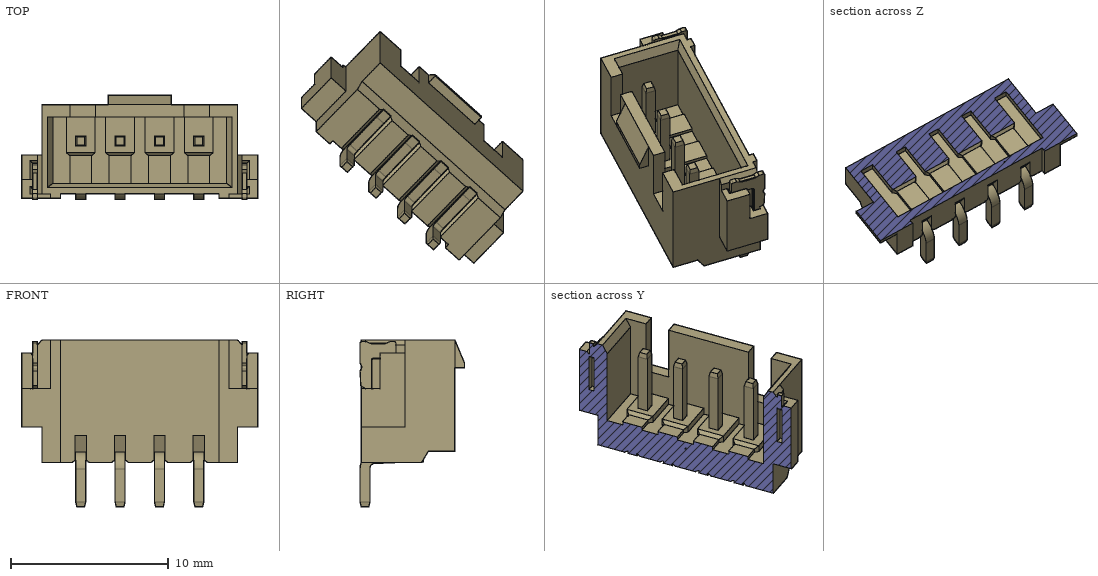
import cadquery as cq
import math


width = 15.0
body_width = 12.44
back_y = 5.95
front_wall_y = 0.28
rear_bottom_z = -7.08
bottom_z = -7.8
bottom_ramp_front_y = 3.84
bottom_ramp_back_y = 4.28

rib_inner_x = 5.02
rib_step_x = 5.67
wing_back_y = 2.78
wing_top_z = -0.82
wing_bottom_z = -5.54
wing_root_x = 6.5
root_bevel_height = 0.32

cavity_width = 11.04
cavity_front_y = 0.96
cavity_back_y = 5.18
floor_z = -5.7
rim_bevel_side = 0.33
rim_bevel_front = 0.25
rim_bevel_height = 0.57

slot_inner_x = 2.82
slot_outer_x = 4.42
slot_bottom_z = -3.6

pedestal_width = 1.83
pedestal_front_y = 2.91
pedestal_height = 0.45
ridge_width = 1.38
ridge_back_y = 2.72
ridge_height = 0.22

latch_width = 4.02
latch_depth = 0.62
latch_ramp_bottom_z = -1.45
latch_bottom_z = -1.78

pin_count = 4
pitch = 7.5 / 3
pin_size = 0.65
pin_top_z = -0.98
pin_tip_z = -10.6
pin_back_y = 3.98
pin_front_y = -0.08
leg_drop = 0.1
foot_top_z = -7.11
foot_bottom_z = -7.75
outer_bend_radius = 1.08
inner_bend_radius = 0.28
pin_point_height = 0.32
pin_point_inset = 0.08

channel_width = 0.7
channel_top_z = -6.09
channel_depth = 0.51
groove_bevel = 0.2
groove_height = 0.15

tab_thickness = 0.32
tab_back_y = 2.2
tab_arm_bottom_z = -1.2
tab_leg_back_y = 0.69
tab_front_y = -0.08
tab_toe_y = -0.03
tab_toe_z = -2.91
tab_top_z = -0.1
tab_corner_radius = 0.12
tab_inner_radius = 0.1
tab_dip_z = -0.21
tab_dip_front_y = 0.55
tab_dip_back_y = 1.6
tab_dip_slope = 0.24
tab_bevel = 0.05
nick_top_z = -1.48
nick_bottom_z = -1.98
nick_depth = 0.12
nick_flank_depth = 0.08
nick_flank_height = 0.14
notch_back_y = 1.22
notch_floor_z = -3.1
socket_floor_z = -3.7
lead_in = 0.15
arm_seat_back_y = 2.4
socket_front_y = 0.27
socket_back_y = 0.76

pin_positions = [(i - (pin_count - 1) / 2) * pitch for i in range(pin_count)]


def box(x0, x1, y0, y1, z0, z1):
    """Box between two opposite corners."""
    return cq.Workplane("XY").box(x1 - x0, y1 - y0, z1 - z0, centered=False).translate((x0, y0, z0))


def slab(outline, x0, x1):
    """Extrude a closed YZ sketch from x0 to x1."""
    return outline.extrude(x1 - x0).translate((x0, 0, 0))


def both_sides(shape):
    """The shape together with its mirror image in the YZ plane."""
    return shape.union(shape.mirror("YZ"))


def body():
    profile = cq.Workplane("YZ").polyline([
        (front_wall_y, 0),
        (back_y, 0),
        (back_y, rear_bottom_z),
        (bottom_ramp_back_y, rear_bottom_z),
        (bottom_ramp_front_y, bottom_z),
        (front_wall_y, bottom_z),
    ]).close()
    return slab(profile, -body_width / 2, body_width / 2)


def side_wing():
    """Right-hand rib, thickened side wall and wing, with the notch that exposes the solder tab."""
    rib = box(rib_inner_x, body_width / 2, 0, front_wall_y, bottom_z, 0)
    root = (
        cq.Workplane("XZ")
        .polyline([
            (body_width / 2, 0),
            (wing_root_x, -root_bevel_height),
            (wing_root_x, wing_bottom_z),
            (body_width / 2, wing_bottom_z),
        ])
        .close()
        .extrude(-wing_back_y)
    )
    wing = box(wing_root_x, width / 2, 0, wing_back_y, wing_bottom_z, wing_top_z)
    front_notch = box(rib_step_x, width / 2, 0, front_wall_y, notch_floor_z, 0)
    wing_notch = box(wing_root_x, width / 2, 0, notch_back_y, notch_floor_z, 0)
    return rib.union(root).union(wing).cut(front_notch).cut(wing_notch)


def tab_seat(front_y, mouth_back_y, top_z, bottom_z):
    """Seat for a tab beside the right-hand wall, with a tapered lead-in at its back and outer sides."""
    mouth_width = tab_thickness + lead_in
    mouth_length = mouth_back_y - front_y
    seat_length = mouth_length - lead_in
    seat = box(wing_root_x, wing_root_x + tab_thickness, front_y, front_y + seat_length, bottom_z, top_z)
    mouth = (
        cq.Workplane("XY", origin=(wing_root_x, front_y, top_z - lead_in))
        .rect(tab_thickness, seat_length, centered=False)
        .workplane(offset=lead_in)
        .rect(mouth_width, mouth_length, centered=False)
        .loft(combine=True)
    )
    return seat.union(mouth)


def cavity():
    half = cavity_width / 2
    room = box(-half, half, cavity_front_y, cavity_back_y, floor_z, 0)
    rim_half = half + rim_bevel_side
    rim_front_y = cavity_front_y - rim_bevel_front
    lower_rim = [(-half, cavity_front_y), (half, cavity_front_y),
                 (half, cavity_back_y), (-half, cavity_back_y)]
    upper_rim = [(-rim_half, rim_front_y), (rim_half, rim_front_y),
                 (rim_half, cavity_back_y), (-rim_half, cavity_back_y)]
    rim = (
        cq.Workplane("XY")
        .workplane(offset=-rim_bevel_height)
        .polyline(lower_rim).close()
        .workplane(offset=rim_bevel_height)
        .polyline(upper_rim).close()
        .loft(combine=True, ruled=True)
    )
    slot = box(slot_inner_x, slot_outer_x, cavity_back_y, back_y, slot_bottom_z, 0)
    return room.union(rim).union(both_sides(slot))


def pedestal(x):
    """Raised pad around the pin at x, sloping down and tapering to the ridge in front of it."""
    half = pedestal_width / 2
    pad = box(x - half, x + half, pedestal_front_y, cavity_back_y, floor_z, floor_z + pedestal_height)
    ridge = box(x - ridge_width / 2, x + ridge_width / 2, cavity_front_y, ridge_back_y,
                floor_z, floor_z + ridge_height)
    slope = (
        cq.Workplane("XZ", origin=(x, pedestal_front_y, floor_z))
        .center(0, pedestal_height / 2).rect(pedestal_width, pedestal_height)
        .workplane(offset=pedestal_front_y - ridge_back_y)
        .center(0, (ridge_height - pedestal_height) / 2).rect(ridge_width, ridge_height)
        .loft(combine=True)
    )
    return pad.union(slope).union(ridge)


def latch():
    profile = cq.Workplane("YZ").polyline([
        (back_y, 0),
        (back_y + latch_depth, latch_ramp_bottom_z),
        (back_y + latch_depth, latch_bottom_z),
        (back_y, latch_bottom_z),
    ]).close()
    return slab(profile, -latch_width / 2, latch_width / 2)


def pin_channel(x):
    """Channel with a roof rising to the front wall and a bevelled groove along the underside."""
    roof_back_y = front_wall_y + channel_depth
    profile = cq.Workplane("YZ").polyline([
        (front_wall_y, channel_top_z),
        (roof_back_y, foot_top_z),
        (roof_back_y, bottom_z),
        (front_wall_y, bottom_z),
    ]).close()
    half = channel_width / 2
    channel = slab(profile, x - half, x + half)
    groove = (
        cq.Workplane("XZ", origin=(x, front_wall_y, bottom_z))
        .polyline([
            (-half - groove_bevel, 0),
            (-half, groove_height),
            (half, groove_height),
            (half + groove_bevel, 0),
        ])
        .close()
        .extrude(front_wall_y - bottom_ramp_back_y)
    )
    return channel.union(groove)


def pin_point(x, y, base_z, tip_z):
    """Tapered end of a square pin."""
    tip_size = pin_size - 2 * pin_point_inset
    return (
        cq.Workplane("XY", origin=(x, y, base_z))
        .rect(pin_size, pin_size)
        .workplane(offset=tip_z - base_z)
        .rect(tip_size, tip_size)
        .loft(combine=True)
    )


def pin(x):
    """Post in the cavity, foot under the floor and leg bent down in front of the housing."""
    post_front_y = pin_back_y - pin_size
    leg_back_y = pin_front_y + pin_size
    post_top_z = pin_top_z - pin_point_height
    leg_bottom_z = pin_tip_z + pin_point_height
    leg_inner_z = foot_bottom_z - leg_drop
    outer_diagonal = outer_bend_radius * math.sqrt(0.5)
    inner_diagonal = inner_bend_radius * math.sqrt(0.5)
    outer_center = (pin_front_y + outer_bend_radius, foot_top_z - outer_bend_radius)
    inner_center = (leg_back_y + inner_bend_radius, leg_inner_z - inner_bend_radius)
    outer_mid = (outer_center[0] - outer_diagonal, outer_center[1] + outer_diagonal)
    inner_mid = (inner_center[0] - inner_diagonal, inner_center[1] + inner_diagonal)
    profile = (
        cq.Workplane("YZ")
        .moveTo(pin_back_y, post_top_z)
        .lineTo(pin_back_y, foot_bottom_z)
        .lineTo(post_front_y, foot_bottom_z)
        .lineTo(inner_center[0], leg_inner_z)
        .threePointArc(inner_mid, (leg_back_y, inner_center[1]))
        .lineTo(leg_back_y, leg_bottom_z)
        .lineTo(pin_front_y, leg_bottom_z)
        .lineTo(pin_front_y, outer_center[1])
        .threePointArc(outer_mid, (outer_center[0], foot_top_z))
        .lineTo(post_front_y, foot_top_z)
        .lineTo(post_front_y, post_top_z)
        .close()
    )
    bent_bar = slab(profile, x - pin_size / 2, x + pin_size / 2)
    top_point = pin_point(x, pin_back_y - pin_size / 2, post_top_z, pin_top_z)
    leg_point = pin_point(x, pin_front_y + pin_size / 2, leg_bottom_z, pin_tip_z)
    return bent_bar.union(top_point).union(leg_point)


def solder_tab():
    """Right-hand L-shaped tab: an arm along the wing and a leg down into the notch floor."""
    corner_mid = tab_corner_radius * (1 - math.sqrt(0.5))
    inner_mid = tab_inner_radius * (1 - math.sqrt(0.5))
    nick_flank_y = tab_front_y + nick_flank_depth
    nick_mid_z = (nick_top_z + nick_bottom_z) / 2
    outline = (
        cq.Workplane("YZ")
        .moveTo(tab_back_y, tab_arm_bottom_z)
        .lineTo(tab_back_y, tab_top_z - tab_corner_radius)
        .threePointArc((tab_back_y - corner_mid, tab_top_z - corner_mid),
                       (tab_back_y - tab_corner_radius, tab_top_z))
        .lineTo(tab_dip_back_y + tab_dip_slope, tab_top_z)
        .lineTo(tab_dip_back_y, tab_dip_z)
        .lineTo(tab_dip_front_y, tab_dip_z)
        .lineTo(tab_dip_front_y - tab_dip_slope, tab_top_z)
        .lineTo(tab_front_y + tab_corner_radius, tab_top_z)
        .threePointArc((tab_front_y + corner_mid, tab_top_z - corner_mid),
                       (tab_front_y, tab_top_z - tab_corner_radius))
        .lineTo(tab_front_y, nick_top_z)
        .lineTo(nick_flank_y, nick_top_z - nick_flank_height)
        .threePointArc((tab_front_y + nick_depth, nick_mid_z),
                       (nick_flank_y, nick_bottom_z + nick_flank_height))
        .lineTo(tab_front_y, nick_bottom_z)
        .lineTo(tab_toe_y, tab_toe_z)
        .lineTo(socket_front_y, notch_floor_z)
        .lineTo(socket_front_y, socket_floor_z)
        .lineTo(tab_leg_back_y, socket_floor_z)
        .lineTo(tab_leg_back_y, tab_arm_bottom_z - tab_inner_radius)
        .threePointArc((tab_leg_back_y + inner_mid, tab_arm_bottom_z - inner_mid),
                       (tab_leg_back_y + tab_inner_radius, tab_arm_bottom_z))
        .close()
    )
    tab_outer_x = wing_root_x + tab_thickness
    tab = slab(outline, wing_root_x, tab_outer_x)
    dip = cq.selectors.BoxSelector(
        (wing_root_x - tab_bevel, tab_dip_front_y, tab_dip_z - tab_bevel),
        (tab_outer_x + tab_bevel, tab_dip_back_y, tab_dip_z + tab_bevel),
    )
    leg_back = cq.selectors.BoxSelector(
        (wing_root_x - tab_bevel, tab_leg_back_y - tab_bevel, socket_floor_z + tab_bevel),
        (tab_outer_x + tab_bevel, tab_leg_back_y + tab_inner_radius, tab_arm_bottom_z + tab_bevel),
    )
    return tab.edges(dip).edges("#X").chamfer(tab_bevel).edges(leg_back).edges("|Z").chamfer(tab_bevel)


housing = body().union(both_sides(side_wing())).union(latch()).cut(cavity())
arm_seat = tab_seat(notch_back_y, arm_seat_back_y, wing_top_z, socket_floor_z)
leg_socket = tab_seat(socket_front_y, socket_back_y, notch_floor_z, socket_floor_z)
housing = housing.cut(both_sides(arm_seat)).cut(both_sides(leg_socket))

for pin_x in pin_positions:
    housing = housing.union(pedestal(pin_x)).cut(pin_channel(pin_x))
    housing = housing.union(pin(pin_x))

result = housing.union(both_sides(solder_tab()))